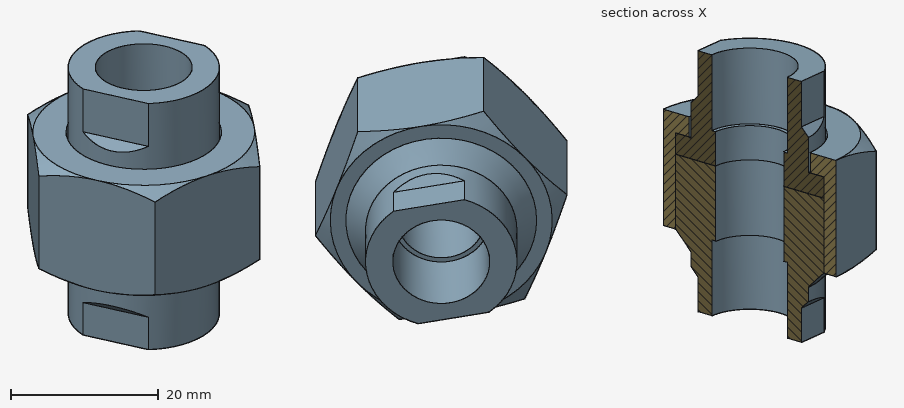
import cadquery as cq
import math

total_height = 38.0

nut_across_flats = 30.02
nut_bottom = 11.02
nut_top = 28.0
nut_lip_thickness = 3.0
nut_opening_diameter = 21.0
corner_chamfer_angle = 30.0

tube_diameter = 20.5
flat_spacing = 18.0
upper_flat_height = 6.6
lower_flat_height = 5.0

bore_diameter = 11.78
socket_diameter = 13.1
socket_depth = 11.02

cone_bottom = 8.35
flange_thickness = 3.0

tube_radius = tube_diameter / 2
nut_corner_radius = nut_across_flats / math.sqrt(3)
joint_radius = tube_radius + nut_bottom - cone_bottom
flange_top = nut_top - nut_lip_thickness
joint_level = flange_top - flange_thickness


def cylinder(radius, bottom, top):
    return cq.Workplane("XY").workplane(offset=bottom).circle(radius).extrude(top - bottom)


def revolve_profile(points):
    """Revolve a closed outline of (radius, height) points around the Z axis."""
    return cq.Workplane("XZ").polyline(points).close().revolve(360, (0, 0, 0), (0, 1, 0))


def wrench_flat_cutter(side, end_level, flat_end_level):
    """Prism that cuts one flat, with a 45 degree run-out; side is +1 or -1 along Y."""
    flat_position = flat_spacing / 2
    run_out = tube_diameter - flat_position
    inward = math.copysign(1, flat_end_level - end_level)
    outline = [
        (side * flat_position, end_level),
        (side * flat_position, flat_end_level),
        (side * tube_diameter, flat_end_level + inward * run_out),
        (side * tube_diameter, end_level),
    ]
    return cq.Workplane("YZ").polyline(outline).close().extrude(tube_radius, both=True)


def cut_wrench_flats(fitting, end_level, flat_end_level):
    tube_envelope = cylinder(tube_radius, 0, total_height)
    for side in (1, -1):
        cutter = wrench_flat_cutter(side, end_level, flat_end_level)
        fitting = fitting.cut(cutter.intersect(tube_envelope))
    return fitting


def make_nut():
    blank = (
        cq.Workplane("XY")
        .workplane(offset=nut_bottom)
        .polygon(6, 2 * nut_corner_radius)
        .extrude(nut_top - nut_bottom)
    )
    face_radius = nut_across_flats / 2
    chamfer_drop = (nut_corner_radius - face_radius) * math.tan(math.radians(corner_chamfer_angle))
    chamfer_envelope = revolve_profile([
        (0, nut_bottom),
        (face_radius, nut_bottom),
        (nut_corner_radius, nut_bottom + chamfer_drop),
        (nut_corner_radius, nut_top - chamfer_drop),
        (face_radius, nut_top),
        (0, nut_top),
    ])
    cavity = cylinder(joint_radius, nut_bottom, flange_top)
    opening = cylinder(nut_opening_diameter / 2, nut_bottom, nut_top)
    return blank.intersect(chamfer_envelope).cut(cavity).cut(opening)


def make_lower_fitting():
    body = revolve_profile([
        (0, 0),
        (tube_radius, 0),
        (tube_radius, cone_bottom),
        (joint_radius, nut_bottom),
        (joint_radius, joint_level),
        (0, joint_level),
    ])
    body = body.cut(cylinder(bore_diameter / 2, 0, joint_level))
    body = body.cut(cylinder(socket_diameter / 2, 0, socket_depth))
    return cut_wrench_flats(body, 0, lower_flat_height)


def make_upper_fitting():
    flange = cylinder(joint_radius, joint_level, flange_top)
    body = flange.union(cylinder(tube_radius, flange_top, total_height))
    body = body.cut(cylinder(bore_diameter / 2, joint_level, total_height))
    body = body.cut(cylinder(socket_diameter / 2, total_height - socket_depth, total_height))
    return cut_wrench_flats(body, total_height, total_height - upper_flat_height)


nut = make_nut()
lower_fitting = make_lower_fitting()
upper_fitting = make_upper_fitting()

result = cq.Compound.makeCompound([nut.val(), lower_fitting.val(), upper_fitting.val()])